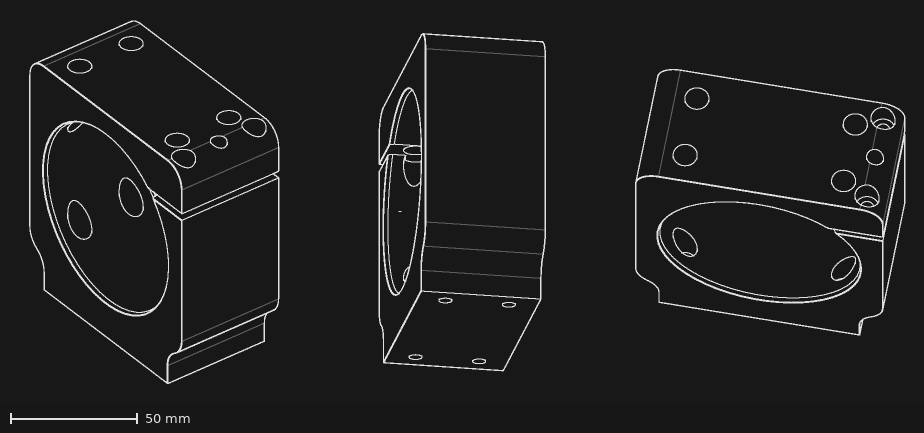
import cadquery as cq
import math

width = 99.1
depth = 48.3
height = 108.0
top_corner_radius = 9.2
edge_chamfer = 0.2

foot_width = 80.5
foot_straight_height = 8.7
shoulder_radius = 10.0

bore_diameter = 80.3
bore_height = 57.1
bore_lead_width = 0.6
bore_lead_depth = 1.8
slot_bottom = 84.1
slot_top = 87.2

mount_spacing_x = 63.5
mount_spacing_y = 25.5
mount_hole_diameter = 5.2
mount_seat_height = 15.0

clamp_x = 42.0
clamp_spacing_y = 35.0
clamp_hole_diameter = 5.2
clamp_seat_height = 97.9
tap_diameter = 4.2
tap_depth = 20.0
drill_point_angle = 118.0
jack_hole_diameter = 6.7

screw_head_diameter = 9.5


def vertical_cylinder(diameter, bottom, top):
    """Cutter along Z, on the Z axis."""
    return cq.Workplane("XY", origin=(0, 0, bottom)).circle(diameter / 2).extrude(top - bottom)


def half_outline():
    """Closed +X half of the body profile in the XZ plane."""
    half_width = width / 2
    half_foot = foot_width / 2
    step = half_width - half_foot
    turn = math.acos(1 - step / (2 * shoulder_radius))
    half_drop = shoulder_radius * math.sin(turn)
    shoulder_middle = (half_foot + step / 2, foot_straight_height + half_drop)
    shoulder_end = (half_width, foot_straight_height + 2 * half_drop)
    return (
        cq.Workplane("XZ")
        .lineTo(half_foot, 0)
        .lineTo(half_foot, foot_straight_height)
        .tangentArcPoint(shoulder_middle, relative=False)
        .tangentArcPoint(shoulder_end, relative=False)
        .lineTo(half_width, height - top_corner_radius)
        .tangentArcPoint((half_width - top_corner_radius, height), relative=False)
        .lineTo(0, height)
        .close()
    )


def make_body():
    half = half_outline().extrude(depth / 2, both=True)
    return half.union(half.mirror("YZ")).clean()


def make_bore():
    """Bore cutter, flared by a shallow lead-in at both ends."""
    radius = bore_diameter / 2
    half_depth = depth / 2
    profile = [
        (0, -half_depth),
        (radius + bore_lead_width, -half_depth),
        (radius, -half_depth + bore_lead_depth),
        (radius, half_depth - bore_lead_depth),
        (radius + bore_lead_width, half_depth),
        (0, half_depth),
    ]
    bore = cq.Workplane("XY").polyline(profile).close().revolve(360, (0, 0, 0), (0, 1, 0))
    return bore.translate((0, 0, bore_height))


def make_slot():
    """Slot cutter, from the bore out through the +X side."""
    size = (width / 2, depth, slot_top - slot_bottom)
    return cq.Workplane("XY", origin=(0, 0, slot_bottom)).box(*size, centered=(False, True, False))


def make_mount_hole():
    """Through hole with a deep counterbore that opens at the top."""
    shank = vertical_cylinder(mount_hole_diameter, 0, height)
    head = vertical_cylinder(screw_head_diameter, mount_seat_height, height)
    return shank.union(head)


def make_clamp_hole():
    """Counterbored clearance hole above the slot, blind tapping hole below it."""
    head = vertical_cylinder(screw_head_diameter, clamp_seat_height, height)
    shank = vertical_cylinder(clamp_hole_diameter, slot_bottom, height)
    tap_radius = tap_diameter / 2
    tap_bottom = slot_bottom - tap_depth
    tip_bottom = tap_bottom - tap_radius / math.tan(math.radians(drill_point_angle / 2))
    tap_profile = [(0, slot_bottom), (tap_radius, slot_bottom), (tap_radius, tap_bottom), (0, tip_bottom)]
    tap = cq.Workplane("XZ").polyline(tap_profile).close().revolve(360, (0, 0, 0), (0, 1, 0))
    return head.union(shank).union(tap)


result = make_body().cut(make_bore()).cut(make_slot())
result = result.faces("<Y or >Y").edges().chamfer(edge_chamfer)

for side_y in (-1, 1):
    for side_x in (-1, 1):
        mount_place = (side_x * mount_spacing_x / 2, side_y * mount_spacing_y / 2, 0)
        result = result.cut(make_mount_hole().translate(mount_place))
    clamp_place = (clamp_x, side_y * clamp_spacing_y / 2, 0)
    result = result.cut(make_clamp_hole().translate(clamp_place))

jack_hole = vertical_cylinder(jack_hole_diameter, slot_bottom, height)
result = result.cut(jack_hole.translate((clamp_x, 0, 0)))